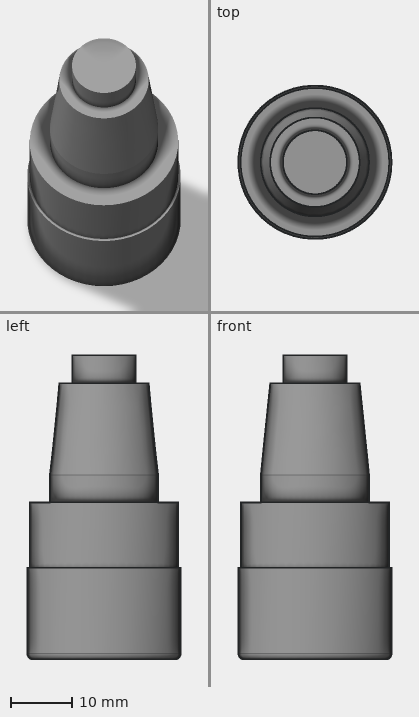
import cadquery as cq

total_height = 49.6
cap_diameter = 25.0
cap_height = 15.0
cap_edge_radius = 1.0
collar_diameter = 24.2
collar_top = 25.6
neck_diameter = 17.65
neck_top = 30.05
taper_top_diameter = 14.6
taper_top = 45.05
tip_diameter = 10.4


def make_base():
    """Round cap with a rounded bottom rim and a slightly narrower collar above it."""
    cap = cq.Workplane("XY").circle(cap_diameter / 2).extrude(cap_height)
    cap = cap.faces("<Z").edges().fillet(cap_edge_radius)
    collar = (
        cq.Workplane("XY")
        .workplane(offset=cap_height)
        .circle(collar_diameter / 2)
        .extrude(collar_top - cap_height)
    )
    return cap.union(collar)


def make_plunger():
    """Straight neck, tapered shank and cylindrical tip, turned about Z as one solid."""
    return (
        cq.Workplane("XZ")
        .moveTo(0, collar_top)
        .lineTo(neck_diameter / 2, collar_top)
        .lineTo(neck_diameter / 2, neck_top)
        .lineTo(taper_top_diameter / 2, taper_top)
        .lineTo(tip_diameter / 2, taper_top)
        .lineTo(tip_diameter / 2, total_height)
        .lineTo(0, total_height)
        .close()
        .revolve(360, (0, 0, 0), (0, 1, 0))
    )


base = make_base()
plunger = make_plunger()

result = cq.Compound.makeCompound([base.val(), plunger.val()])